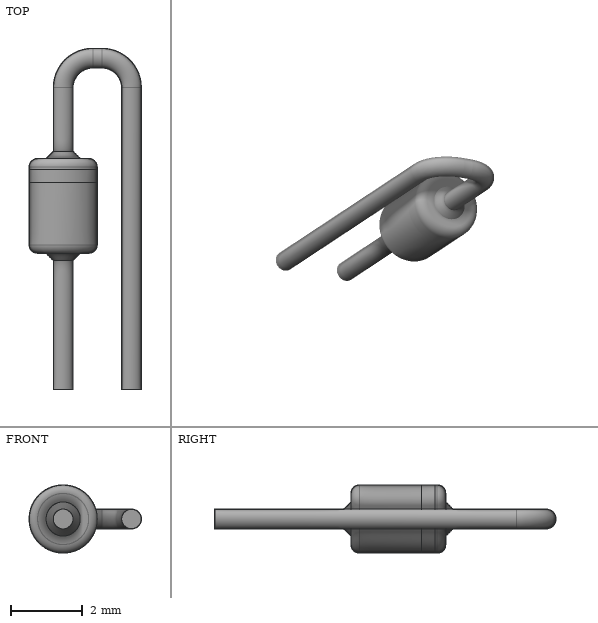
import cadquery as cq
import math

housing_diameter = 1.9
housing_length = 2.64
housing_radius = housing_diameter / 2
edge_fillet = housing_radius / 4

cone_length = 0.2
cone_base_radius = housing_radius / 2

band_offset = 0.3
band_width = 0.37
band_depth = 0.1

lead_diameter = 0.55
lead_radius = lead_diameter / 2
lead_pitch = 1.905
front_lead_length = 3.6
rear_straight_length = 1.77
bend_radius = 1.5 * lead_diameter

face_y = housing_length / 2
cone_tip_y = face_y + cone_length
lead_end_y = -(cone_tip_y + front_lead_length)
bend_start_y = cone_tip_y + rear_straight_length
bend_top_y = bend_start_y + bend_radius
band_rear_y = face_y - band_offset
band_front_y = band_rear_y - band_width

AXIS_START = (0, 0)
AXIS_END = (0, 1)


def make_band():
    """Thin ring whose outside is flush with the housing."""
    inner_radius = housing_radius - band_depth
    return (
        cq.Workplane("XY")
        .moveTo(inner_radius, band_front_y)
        .lineTo(housing_radius, band_front_y)
        .lineTo(housing_radius, band_rear_y)
        .lineTo(inner_radius, band_rear_y)
        .close()
        .revolve(360, AXIS_START, AXIS_END)
    )


def make_housing(band):
    """Rounded cylinder with a cone at each end and a groove for the band."""
    flat_radius = housing_radius - edge_fillet
    fillet_y = face_y - edge_fillet
    fillet_reach = edge_fillet * math.sqrt(0.5)
    fillet_mid_radius = flat_radius + fillet_reach
    fillet_mid_y = fillet_y + fillet_reach
    body = (
        cq.Workplane("XY")
        .moveTo(0, -cone_tip_y)
        .lineTo(lead_radius, -cone_tip_y)
        .lineTo(cone_base_radius, -face_y)
        .lineTo(flat_radius, -face_y)
        .threePointArc((fillet_mid_radius, -fillet_mid_y), (housing_radius, -fillet_y))
        .lineTo(housing_radius, fillet_y)
        .threePointArc((fillet_mid_radius, fillet_mid_y), (flat_radius, face_y))
        .lineTo(cone_base_radius, face_y)
        .lineTo(lead_radius, cone_tip_y)
        .lineTo(0, cone_tip_y)
        .close()
        .revolve(360, AXIS_START, AXIS_END)
    )
    return body.cut(band).solids()


def make_front_lead():
    """Straight lead running from the front cone toward -Y."""
    return (
        cq.Workplane("XZ", origin=(0, -cone_tip_y, 0))
        .circle(lead_radius)
        .extrude(front_lead_length)
    )


def make_bent_lead():
    """Lead leaving the rear cone, bent back alongside the housing."""
    bend_reach = bend_radius * math.sqrt(0.5)
    bend_mid_y = bend_start_y + bend_reach
    path = (
        cq.Workplane("XY")
        .moveTo(0, cone_tip_y)
        .lineTo(0, bend_start_y)
        .threePointArc((bend_radius - bend_reach, bend_mid_y), (bend_radius, bend_top_y))
        .lineTo(lead_pitch - bend_radius, bend_top_y)
        .threePointArc(
            (lead_pitch - bend_radius + bend_reach, bend_mid_y),
            (lead_pitch, bend_start_y),
        )
        .lineTo(lead_pitch, lead_end_y)
    )
    return cq.Workplane("XZ", origin=(0, cone_tip_y, 0)).circle(lead_radius).sweep(path)


cathode_band = make_band()
housing = make_housing(cathode_band)
front_lead = make_front_lead()
bent_lead = make_bent_lead()

result = cq.Compound.makeCompound(
    [housing.val(), cathode_band.val(), front_lead.val(), bent_lead.val()]
)